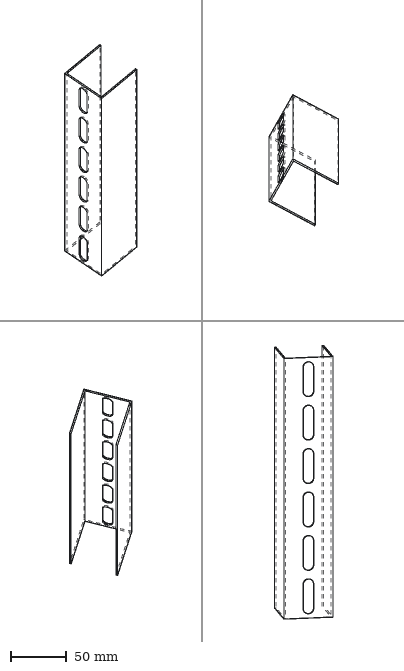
import cadquery as cq

width = 45.0
depth = 47.0
height = 240.0
wall = 1.5

slot_count = 6
slot_length = 32.0
slot_width = 9.5
slot_pitch = height / slot_count


def channel():
    """U-channel with its web at the front (-Y) and its open side at the back."""
    outer = cq.Workplane("XY").box(width, depth, height)
    cavity = cq.Workplane("XY").box(width - 2 * wall, depth, height).translate((0, wall, 0))
    return outer.cut(cavity)


def web_slots():
    """Round-ended slots, evenly spaced, passing through the web only."""
    return (
        cq.Workplane("XZ", origin=(0, -depth / 2 + wall, 0))
        .rarray(2.5, slot_pitch, 1, slot_count)
        .slot2D(slot_length, slot_width, 90)
        .extrude(wall)
    )


result = channel().cut(web_slots())